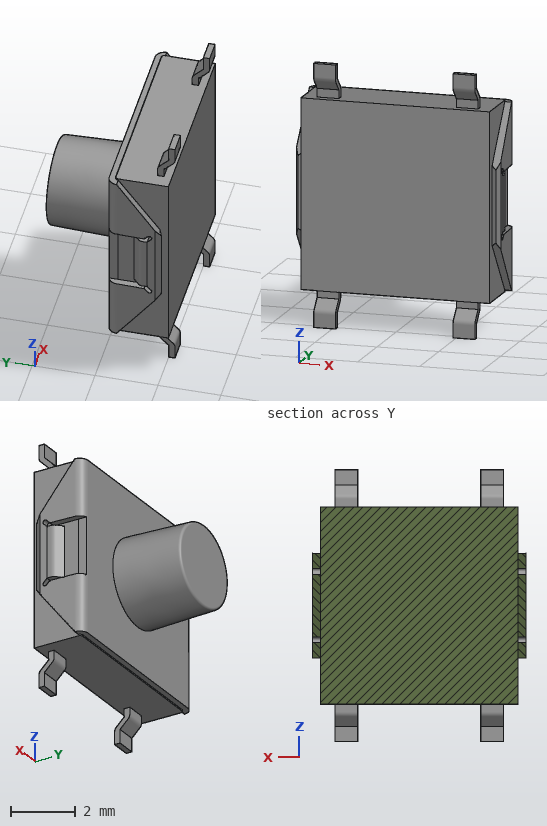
import cadquery as cq
import math


LEAD_SPAN = 8.4
HEIGHT = 4.4
SHEET = 0.2

BASE_SIDE = 6.1
BASE_HALF = BASE_SIDE / 2
BASE_BOTTOM = 0.1
COVER_TOP = 2.0
BASE_TOP = COVER_TOP - SHEET

COVER_LENGTH = 6.0
BEND_INNER_RADIUS = 0.1
BEND_OUTER_RADIUS = BEND_INNER_RADIUS + SHEET
WALL_TOP = COVER_TOP - BEND_OUTER_RADIUS
WALL_TOP_X = 3.27
LIP_BEND_X = 3.3
LIP_BEND_Y = 0.46
LIP_TIP_X = 3.2
LIP_TIP_Y = 0.285
LIP_TIP_LENGTH = 2.32

WINDOW_HALF = 1.0
WINDOW_BOTTOM = 0.71
RELIEF_WIDTH = 0.14
RELIEF_REACH = 0.07

LATCH_LENGTH = 1.79
LATCH_TOP = 1.19
LATCH_CORNER_Y = 0.95
LATCH_ROUND = 0.17

LEAD_WIDTH = 0.705
LEAD_PITCH = 4.5
LEAD_EXIT_BOTTOM = 0.35
LEAD_UNDER_BEND = 3.33
LEAD_OVER_BEND = 3.38
LEAD_BEND_RADIUS = 0.2

BUTTON_RADIUS = 1.495
BUTTON_TOP_RADIUS = 1.42
BUTTON_ROUND = 0.08


def mirrored_x(shape):
    """The shape together with its mirror image across X = 0."""
    return shape.union(shape.mirror("YZ"))


def make_latch():
    """Ramp-topped catch on the +X side of the base, filling the cover's window."""
    latch = (
        cq.Workplane("XY")
        .moveTo(BASE_HALF - SHEET, WINDOW_BOTTOM)
        .lineTo(LIP_BEND_X, WINDOW_BOTTOM)
        .lineTo(LIP_BEND_X, LATCH_CORNER_Y)
        .lineTo(BASE_HALF, LATCH_TOP)
        .lineTo(BASE_HALF - SHEET, LATCH_TOP)
        .close()
        .extrude(LATCH_LENGTH / 2, both=True)
    )
    ramp_corner = cq.selectors.NearestToPointSelector((LIP_BEND_X, LATCH_CORNER_Y, 0))
    return latch.edges(ramp_corner).fillet(LATCH_ROUND)


def make_base():
    """Square block with rounded upper side edges and a latch on each side."""
    height = BASE_TOP - BASE_BOTTOM
    block = (
        cq.Workplane("XY")
        .center(0, BASE_BOTTOM + height / 2)
        .rect(BASE_SIDE, height)
        .extrude(BASE_SIDE / 2, both=True)
        .edges("|Z and >Y")
        .fillet(BEND_INNER_RADIUS)
    )
    return block.union(mirrored_x(make_latch()))


def cover_section():
    """The +X half of the folded cover: top plate, bend, wall lying on the base, inward lip."""
    lip_slope = (LIP_BEND_X - LIP_TIP_X) / (LIP_BEND_Y - LIP_TIP_Y)
    lip_end_y = LIP_TIP_Y + (LIP_TIP_X - BASE_HALF) * lip_slope
    outer_bend_x = WALL_TOP_X - BEND_OUTER_RADIUS
    inner_bend_x = BASE_HALF - BEND_INNER_RADIUS
    outer_mid = BEND_OUTER_RADIUS * math.sqrt(0.5)
    inner_mid = BEND_INNER_RADIUS * math.sqrt(0.5)
    return (
        cq.Workplane("XY")
        .moveTo(0, COVER_TOP)
        .lineTo(outer_bend_x, COVER_TOP)
        .threePointArc((outer_bend_x + outer_mid, WALL_TOP + outer_mid), (WALL_TOP_X, WALL_TOP))
        .lineTo(LIP_BEND_X, LIP_BEND_Y)
        .lineTo(LIP_TIP_X, LIP_TIP_Y)
        .lineTo(BASE_HALF, lip_end_y)
        .lineTo(BASE_HALF, WALL_TOP)
        .threePointArc((inner_bend_x + inner_mid, WALL_TOP + inner_mid), (inner_bend_x, BASE_TOP))
        .lineTo(0, BASE_TOP)
        .close()
    )


def cover_outline():
    """Prism along X that trims the walls to trapezoids narrowing towards the lip."""
    half_length = COVER_LENGTH / 2
    half_tip = LIP_TIP_LENGTH / 2
    return (
        cq.Workplane("YZ")
        .moveTo(COVER_TOP, half_length)
        .lineTo(WALL_TOP, half_length)
        .lineTo(LIP_TIP_Y, half_tip)
        .lineTo(LIP_TIP_Y, -half_tip)
        .lineTo(WALL_TOP, -half_length)
        .lineTo(COVER_TOP, -half_length)
        .close()
        .extrude(LIP_BEND_X, both=True)
    )


def window_cutter():
    """Opening in the +X wall, running up through the bend, with its relief slots."""
    depth = 2 * SHEET
    side = cq.Workplane("YZ", origin=(BASE_HALF, 0, 0))
    cutter = (
        side.center((WINDOW_BOTTOM + COVER_TOP) / 2, 0)
        .rect(COVER_TOP - WINDOW_BOTTOM, 2 * WINDOW_HALF)
        .extrude(depth)
    )
    for end in (1, -1):
        slot_length = 2 * RELIEF_REACH * math.sqrt(2) + RELIEF_WIDTH
        slot = (
            side.center(WINDOW_BOTTOM, end * WINDOW_HALF)
            .slot2D(slot_length, RELIEF_WIDTH, -45 * end)
            .extrude(depth)
        )
        cutter = cutter.union(slot)
    return cutter


def make_cover(base, button):
    """Folded sheet cover, fitted around the base and the button."""
    half = cover_section().extrude(COVER_LENGTH / 2, both=True)
    cover = mirrored_x(half).intersect(cover_outline())
    cover = cover.cut(mirrored_x(window_cutter()))
    return cover.cut(base).cut(button)


def make_button():
    """Tapered round button standing on the base, with a rounded top rim."""
    return (
        cq.Workplane("ZY")
        .moveTo(0, BASE_TOP)
        .lineTo(BUTTON_RADIUS, BASE_TOP)
        .lineTo(BUTTON_RADIUS, COVER_TOP)
        .lineTo(BUTTON_TOP_RADIUS, HEIGHT)
        .lineTo(0, HEIGHT)
        .close()
        .revolve(360, (0, 0, 0), (0, 1, 0))
        .faces(">Y")
        .edges()
        .fillet(BUTTON_ROUND)
    )


def make_lead(x, end):
    """Gull-wing lead centred at x; end is +1 or -1 for the +Z or -Z side."""
    tip = LEAD_SPAN / 2
    drop = LEAD_EXIT_BOTTOM
    lead = (
        cq.Workplane("YZ", origin=(x, 0, 0))
        .moveTo(LEAD_EXIT_BOTTOM, BASE_HALF)
        .lineTo(LEAD_EXIT_BOTTOM, LEAD_UNDER_BEND)
        .lineTo(0, LEAD_UNDER_BEND + drop)
        .lineTo(0, tip)
        .lineTo(SHEET, tip)
        .lineTo(SHEET, LEAD_OVER_BEND + drop)
        .lineTo(SHEET + drop, LEAD_OVER_BEND)
        .lineTo(SHEET + drop, BASE_HALF)
        .close()
        .extrude(LEAD_WIDTH / 2, both=True)
    )
    outer_bends = ((0, LEAD_UNDER_BEND + drop), (SHEET + drop, LEAD_OVER_BEND))
    for y, z in outer_bends:
        corner = cq.selectors.NearestToPointSelector((x, y, z))
        lead = lead.edges(corner).fillet(LEAD_BEND_RADIUS)
    return lead if end > 0 else lead.mirror("XY")


base = make_base()
button = make_button()
cover = make_cover(base, button)
leads = []
for end in (1, -1):
    for x in (-LEAD_PITCH / 2, LEAD_PITCH / 2):
        leads.append(make_lead(x, end).val())

result = cq.Compound.makeCompound([base.val(), cover.val(), button.val(), *leads])